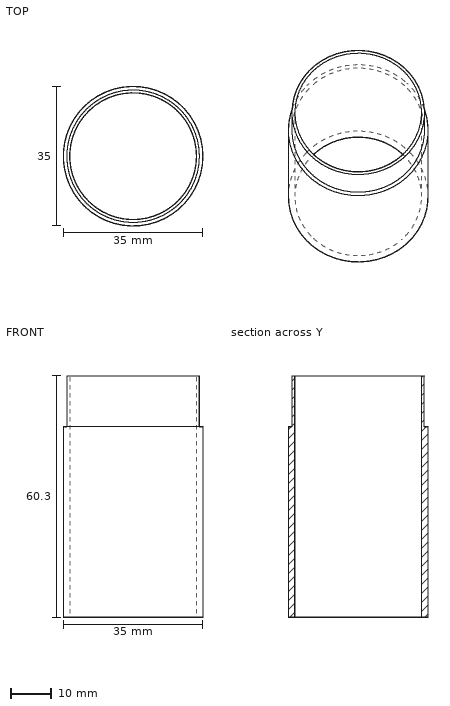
import cadquery as cq

total_height = 60.3
body_diameter = 34.95
bore_diameter = 31.6

neck_diameter = 33.1
neck_height = 12.65

body_height = total_height - neck_height

body = cq.Workplane("XY").circle(body_diameter / 2).extrude(body_height)
neck = (
    cq.Workplane("XY")
    .workplane(offset=body_height)
    .circle(neck_diameter / 2)
    .extrude(neck_height)
)

bore = cq.Workplane("XY").circle(bore_diameter / 2).extrude(total_height)

result = body.union(neck).cut(bore)